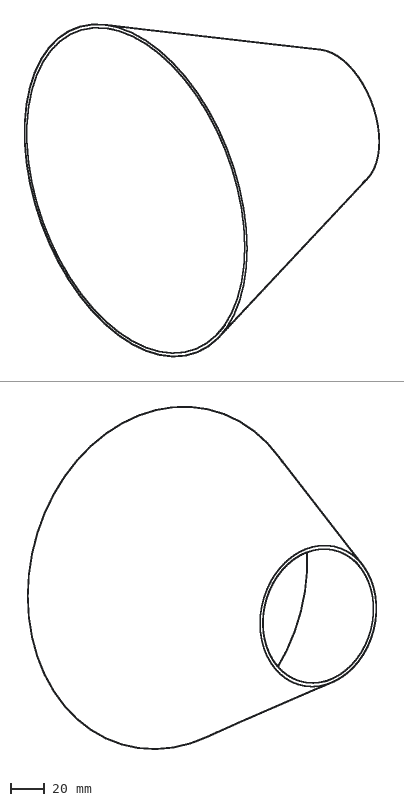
import cadquery as cq
import math

large_diameter = 204.0
small_diameter = 84.0
length = 152.0
wall_thickness = 2.0

large_radius = large_diameter / 2
small_radius = small_diameter / 2

half_angle = math.atan((large_radius - small_radius) / length)
radial_wall = wall_thickness / math.cos(half_angle)

wall_section = (
    cq.Workplane("XY")
    .moveTo(large_radius - radial_wall, 0)
    .lineTo(large_radius, 0)
    .lineTo(small_radius, length)
    .lineTo(small_radius - radial_wall, length)
    .close()
)

result = wall_section.revolve(360, (0, 0, 0), (0, 1, 0))